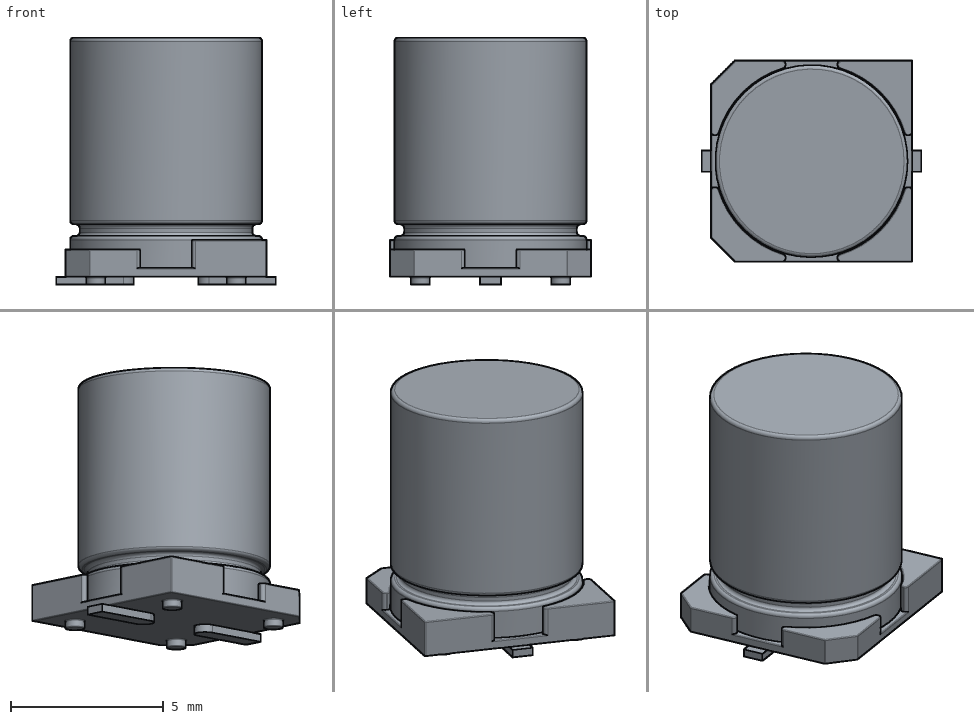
import cadquery as cq
import math

can_diameter = 6.3
neck_diameter = 5.67
base_size = 6.6
lead_span = 7.2
total_height = 8.1

can_radius = can_diameter / 2
neck_radius = neck_diameter / 2
can_arc = 0.126
groove_bottom = 1.475
groove_height = 5 * can_arc

standoff = 0.26
floor_top = 0.555
low_post_top = 1.16
high_post_top = 1.47
bore_radius = 3.18
corner_chamfer = 0.79
notch_width = 1.7
post_tip_fillet = 0.115
edge_fillet = 0.03

lead_width = 0.7
lead_inner_tip = 1.05
foot_diameter = 0.63
foot_offset = 2.3

half_base = base_size / 2
half_notch = notch_width / 2


def arc_middle(center_r, center_z, angle):
    """Point on a can arc at the given angle in degrees, in the (radius, Z) plane."""
    a = math.radians(angle)
    return (center_r + can_arc * math.cos(a), center_z + can_arc * math.sin(a))


def make_can():
    """Revolved can with the rolled groove above the base and a rounded top rim."""
    groove_top = groove_bottom + groove_height
    crest_r = can_radius - can_arc
    root_r = neck_radius + can_arc
    lower_shelf = groove_bottom + can_arc
    upper_shelf = groove_top - can_arc
    lower_root = lower_shelf + can_arc
    upper_root = upper_shelf - can_arc
    rim_z = total_height - can_arc
    profile = (
        cq.Workplane("XZ")
        .moveTo(0, floor_top)
        .lineTo(can_radius, floor_top)
        .lineTo(can_radius, groove_bottom)
        .threePointArc(arc_middle(crest_r, groove_bottom, 45), (crest_r, lower_shelf))
        .lineTo(root_r, lower_shelf)
        .threePointArc(arc_middle(root_r, lower_root, 225), (neck_radius, lower_root))
        .lineTo(neck_radius, upper_root)
        .threePointArc(arc_middle(root_r, upper_root, 135), (root_r, upper_shelf))
        .lineTo(crest_r, upper_shelf)
        .threePointArc(arc_middle(crest_r, groove_top, 315), (can_radius, groove_top))
        .lineTo(can_radius, rim_z)
        .threePointArc(arc_middle(crest_r, rim_z, 45), (crest_r, total_height))
        .lineTo(0, total_height)
        .close()
    )
    return profile.revolve(360, (0, 0, 0), (0, 1, 0))


def make_block(bottom, top):
    """Square block with both -X corners chamfered and the upright edges softened."""
    return (
        cq.Workplane("XY", origin=(0, 0, bottom))
        .rect(base_size, base_size)
        .extrude(top - bottom)
        .edges("|Z and <X")
        .chamfer(corner_chamfer)
        .edges("|Z")
        .fillet(edge_fillet)
    )


def make_post(side_x, side_y):
    """Corner post hugging the can, with rounded tips; the +X posts are the taller ones."""
    bottom = floor_top - edge_fillet
    top = high_post_top if side_x > 0 else low_post_top
    reach = half_base - half_notch
    center = (half_base + half_notch) / 2
    quadrant = (
        cq.Workplane("XY", origin=(side_x * center, side_y * center, bottom))
        .rect(reach, reach)
        .extrude(top - bottom)
    )
    bore = cq.Workplane("XY").circle(bore_radius).extrude(top)
    post = make_block(bottom, top).intersect(quadrant).cut(bore)

    wall_x = "<X" if side_x > 0 else ">X"
    wall_y = "<Y" if side_y > 0 else ">Y"
    post = post.faces(wall_x).edges("|Z").fillet(post_tip_fillet)
    post = post.faces(wall_y).edges("|Z").fillet(post_tip_fillet)
    return post.faces(">Z").edges().fillet(edge_fillet)


def make_base():
    """Plate with softened edges and the four corner posts."""
    base = make_block(standoff, floor_top).faces("<Z or >Z").edges().fillet(edge_fillet)
    for side_x in (-1, 1):
        for side_y in (-1, 1):
            base = base.union(make_post(side_x, side_y))
    return base


def make_lead(side):
    """Flat terminal sticking out on one X side, with a round inner end."""
    outer = lead_span / 2
    round_center = lead_inner_tip + lead_width / 2
    length = outer - round_center
    strip = cq.Workplane("XY").center(side * (outer + round_center) / 2, 0)
    round_end = cq.Workplane("XY").center(side * round_center, 0)
    return (
        strip.rect(length, lead_width)
        .extrude(standoff)
        .union(round_end.circle(lead_width / 2).extrude(standoff))
    )


def make_foot(x, y):
    """Round foot with a rounded lower rim and a small flare where it meets the base."""
    radius = foot_diameter / 2
    rim = radius - edge_fillet
    flare = radius + edge_fillet
    flare_start = standoff - edge_fillet
    diagonal = edge_fillet * math.sqrt(0.5)
    profile = (
        cq.Workplane("XZ")
        .lineTo(rim, 0)
        .threePointArc((rim + diagonal, edge_fillet - diagonal), (radius, edge_fillet))
        .lineTo(radius, flare_start)
        .threePointArc((flare - diagonal, flare_start + diagonal), (flare, standoff))
        .lineTo(0, standoff)
        .close()
    )
    return profile.revolve(360, (0, 0, 0), (0, 1, 0)).translate((x, y, 0))


result = make_base().union(make_can())
for side_x in (-1, 1):
    result = result.union(make_lead(side_x))
    for side_y in (-1, 1):
        result = result.union(make_foot(side_x * foot_offset, side_y * foot_offset))